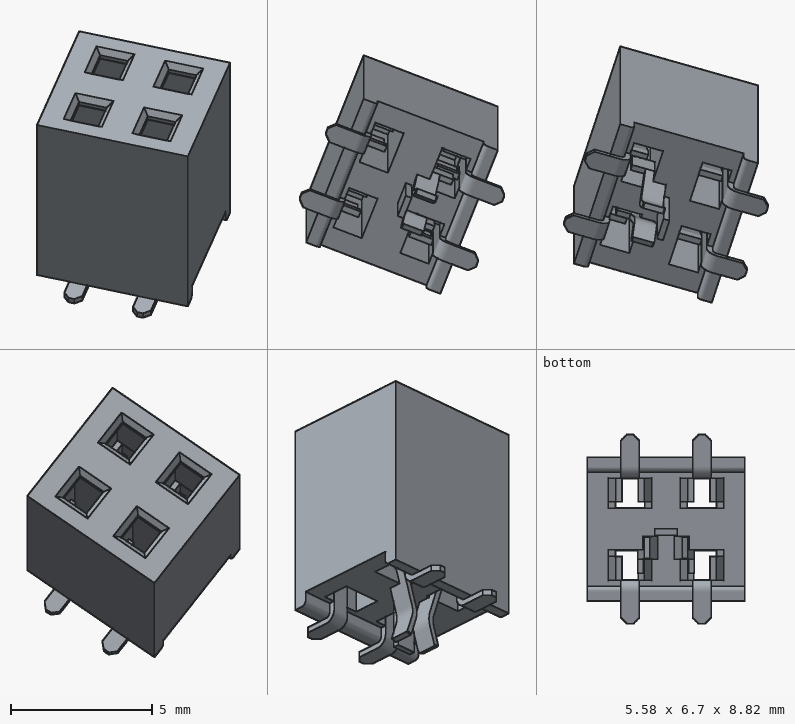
import cadquery as cq
import math

LENGTH = 5.58
WIDTH = 5.1
TOP = 8.82
STANDOFF_BOTTOM = 1.58
STANDOFF_HEIGHT = 0.53
STANDOFF_WIDTH = 0.53
FLOOR = STANDOFF_BOTTOM + STANDOFF_HEIGHT

PITCH = 2.54
ROW = PITCH / 2

MOUTH = 1.41
THROAT = 1.02
LEAD_IN_DEPTH = 0.2
LAND = 0.18
CAVITY_LENGTH = 1.535
CAVITY_WIDTH = 1.08

SHEET = 0.22

TAIL_REACH = 3.35
TAIL_WIDTH = 0.66
TIP_CHAMFER = 0.22
BEND_INNER = 0.18
BEND_OUTER = BEND_INNER + SHEET
STEM_OUTER = WIDTH / 2 - STANDOFF_WIDTH
STEM_INNER = STEM_OUTER - SHEET
TAIL_BOTTOM = STANDOFF_BOTTOM - SHEET
CONTACT_TOP = 6.35
COLLAR_BOTTOM = 5.47
BLADE_PINCH = 4.41
BLADE_BOTTOM = 4.06
BLADE_GAP = 0.565
BLADE_FRONT = 0.96

CLIP_TOP = 3.53
CLIP_HALF = 1.005
CLIP_FRONT = 0.26
CLIP_BACK = 1.55
LEG_WIDTH = 0.8
LEG_THICKNESS = 0.2
LEG_TIP_CHAMFER = 0.035
WAIST_HALF = 0.5
WAIST_Z = 1.0
WAIST_RADIUS = 0.68
LEG_SLOPE = math.radians(18)
UPRIGHT_BOTTOM = 2.65

TAB_WIDTH = 0.785
TAB_BACK = 0.21


def box(x_range, y_range, z_range):
    """Block between the given limits along each axis."""
    size = [high - low for low, high in (x_range, y_range, z_range)]
    corner = (x_range[0], y_range[0], z_range[0])
    return cq.Workplane("XY").box(*size, centered=False).translate(corner)


def socket_cutter(x, y):
    """Tapered mouth, straight land and wider cavity of one socket."""
    lead_in = (
        cq.Workplane("XY", origin=(x, y, TOP))
        .rect(MOUTH, MOUTH)
        .workplane(offset=-LEAD_IN_DEPTH)
        .rect(THROAT, THROAT)
        .loft(ruled=True)
    )
    cavity_top = TOP - LEAD_IN_DEPTH - LAND
    land = cq.Workplane("XY", origin=(x, y, cavity_top)).rect(THROAT, THROAT).extrude(LAND)
    cavity = (
        cq.Workplane("XY", origin=(x, y, FLOOR))
        .rect(CAVITY_LENGTH, CAVITY_WIDTH)
        .extrude(cavity_top - FLOOR)
    )
    return lead_in.union(land).union(cavity)


def make_housing(inserts):
    """Block on two standoff rails, with sockets and a seat for every insert."""
    half_length = LENGTH / 2
    half_width = WIDTH / 2
    housing = box((-half_length, half_length), (-half_width, half_width), (STANDOFF_BOTTOM, TOP))
    channel = box((-half_length, half_length), (-STEM_OUTER, STEM_OUTER), (STANDOFF_BOTTOM, FLOOR))
    housing = housing.cut(channel)
    for side in (-1, 1):
        rail_edge = cq.selectors.NearestToPointSelector((0, side * STEM_OUTER, STANDOFF_BOTTOM))
        housing = housing.edges(rail_edge).fillet(BEND_INNER)
    for x in (-ROW, ROW):
        for y in (-ROW, ROW):
            housing = housing.cut(socket_cutter(x, y))
    for insert in inserts:
        housing = housing.cut(insert)
    return housing


def contact_strip():
    """Upright stem bent outward into the surface-mount tail."""
    bend_start = STEM_INNER + BEND_OUTER
    strip = (
        cq.Workplane("YZ")
        .moveTo(STEM_INNER, CONTACT_TOP)
        .lineTo(STEM_INNER, TAIL_BOTTOM + BEND_OUTER)
        .radiusArc((bend_start, TAIL_BOTTOM), -BEND_OUTER)
        .lineTo(TAIL_REACH, TAIL_BOTTOM)
        .lineTo(TAIL_REACH, STANDOFF_BOTTOM)
        .lineTo(bend_start, STANDOFF_BOTTOM)
        .radiusArc((STEM_OUTER, STANDOFF_BOTTOM + BEND_INNER), BEND_INNER)
        .lineTo(STEM_OUTER, CONTACT_TOP)
        .close()
        .extrude(TAIL_WIDTH / 2, both=True)
    )
    return strip.faces(">Y").edges("|Z").chamfer(TIP_CHAMFER)


def contact_blade():
    """Spring blade on the +X side, leaning inward to the pinch point."""
    outer = CAVITY_LENGTH / 2
    pinch = BLADE_GAP / 2
    return (
        cq.Workplane("XZ", origin=(0, STEM_INNER, 0))
        .polyline([
            (outer, CONTACT_TOP),
            (outer - SHEET, CONTACT_TOP),
            (outer - SHEET, COLLAR_BOTTOM),
            (pinch, BLADE_PINCH),
            (pinch, BLADE_BOTTOM),
            (pinch + SHEET, BLADE_BOTTOM),
            (pinch + SHEET, BLADE_PINCH),
            (outer, COLLAR_BOTTOM),
        ])
        .close()
        .extrude(STEM_INNER - BLADE_FRONT)
    )


def make_contact(x, side):
    """Stem with tail, collar plate and two facing blades; side is -1 or 1 in Y."""
    half = CAVITY_LENGTH / 2
    collar = box((-half, half), (STEM_INNER, STEM_OUTER), (COLLAR_BOTTOM, CONTACT_TOP))
    blade = contact_blade()
    contact = contact_strip().union(collar).union(blade).union(blade.mirror("YZ"))
    if side < 0:
        contact = contact.mirror("XZ")
    return contact.translate((x, 0, 0))


def clip_leg():
    """Spring leg on the +X side: upright, then in to the waist and out to the tip."""
    sine = math.sin(LEG_SLOPE)
    cosine = math.cos(LEG_SLOPE)
    centre_x = WAIST_HALF + WAIST_RADIUS

    def waist_point(radius, angle):
        return centre_x - radius * math.cos(angle), WAIST_Z + radius * math.sin(angle)

    def along_leg(point, distance, up):
        return point[0] + distance * sine, point[1] + up * distance * cosine

    inner_radius = WAIST_RADIUS + LEG_THICKNESS
    outer_high = waist_point(WAIST_RADIUS, LEG_SLOPE)
    outer_low = waist_point(WAIST_RADIUS, -LEG_SLOPE)
    inner_high = waist_point(inner_radius, LEG_SLOPE)
    inner_low = waist_point(inner_radius, -LEG_SLOPE)
    tip_length = inner_low[1] / cosine
    outer_rise = (CLIP_HALF - outer_high[0]) / sine
    inner_rise = (CLIP_HALF - LEG_THICKNESS - inner_high[0]) / sine

    spring = (
        cq.Workplane("XZ", origin=(0, CLIP_FRONT + LEG_WIDTH, 0))
        .moveTo(CLIP_HALF, CLIP_TOP)
        .lineTo(*along_leg(outer_high, outer_rise, 1))
        .lineTo(*outer_high)
        .threePointArc(waist_point(WAIST_RADIUS, 0), outer_low)
        .lineTo(*along_leg(outer_low, tip_length, -1))
        .lineTo(*along_leg(inner_low, tip_length, -1))
        .lineTo(*inner_low)
        .threePointArc(waist_point(inner_radius, 0), inner_high)
        .lineTo(*along_leg(inner_high, inner_rise, 1))
        .lineTo(CLIP_HALF - LEG_THICKNESS, CLIP_TOP)
        .close()
        .extrude(LEG_WIDTH)
    )
    spring = spring.faces("<Z").edges("not |Y").chamfer(LEG_TIP_CHAMFER)
    upright = box((CLIP_HALF - LEG_THICKNESS, CLIP_HALF), (CLIP_FRONT, CLIP_BACK), (UPRIGHT_BOTTOM, CLIP_TOP))
    return spring.union(upright)


def make_clip():
    """Both spring legs and the web that joins them inside the housing."""
    web = box((-CLIP_HALF, CLIP_HALF), (CLIP_FRONT, CLIP_FRONT + SHEET), (UPRIGHT_BOTTOM, CLIP_TOP))
    leg = clip_leg()
    return web.union(leg).union(leg.mirror("YZ"))


def make_tab():
    """Flat strip pressed into the housing, as tall as the clip."""
    return box((-TAB_WIDTH / 2, TAB_WIDTH / 2), (TAB_BACK - SHEET, TAB_BACK), (0, CLIP_TOP))


contacts = [make_contact(x, side) for x in (-ROW, ROW) for side in (-1, 1)]
clip = make_clip()
tab = make_tab()
housing = make_housing([*contacts, clip, tab])

result = cq.Compound.makeCompound([
    housing.solids().val(),
    *[contact.solids().val() for contact in contacts],
    clip.solids().val(),
    tab.solids().val(),
])